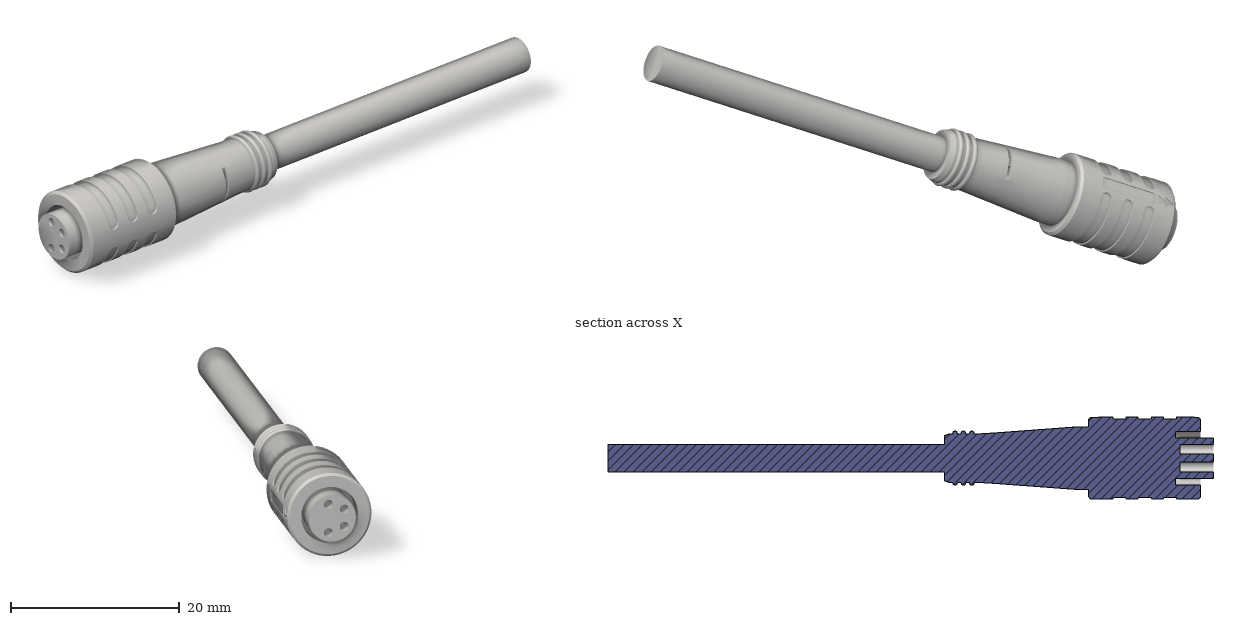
import cadquery as cq
import math

total_length = 71.9

insert_diameter = 5.7
recess_diameter = 6.9
recess_depth = 3.0
contact_diameter = 1.1
contact_depth = 4.0
contact_circle_radius = 1.8
contact_angles = (36, 105, -105, -36)

sleeve_diameter = 10.2
sleeve_radius = sleeve_diameter / 2
sleeve_front = 1.55
sleeve_back = 14.9
sleeve_chamfer = 0.3
recess_floor = sleeve_front + recess_depth

groove_width = 1.5
groove_pitch = 2 * groove_width
groove_count = 3
groove_depth = 0.2
first_groove_front = 4.45
groove_end_height = 1.2
side_slot_length = groove_pitch * (groove_count - 1) + groove_width
side_slot_corner = 0.4

mark_height = 1.5
mark_length = 1.35
mark_depth = 0.15
triangle_base = 4.25
chevron_base = 3.2
chevron_thickness = 0.75

relief_front_diameter = 8.0
relief_back_diameter = 6.5
relief_cone_front = 16.4
relief_cone_back = 27.8
relief_back = 32.0
relief_end_chamfer = 0.2
relief_end_chamfer_length = 0.6
bead_radius = 0.3
bead_pitch = 1.0
bead_count = 3
first_bead_center = 28.7
slit_center = 23.9
slit_width = 0.5
slit_floor = 2.7
slit_web_width = 1.1
slit_web_top = 3.1

cable_diameter = 4.4


def cylinder(diameter, start, end):
    """Solid cylinder along Y between two stations."""
    return cq.Workplane("XZ", origin=(0, start, 0)).circle(diameter / 2).extrude(start - end)


def make_sleeve():
    """Chamfered locking sleeve with the recess that surrounds the mating insert."""
    sleeve = cylinder(sleeve_diameter, sleeve_front, sleeve_back)
    sleeve = sleeve.faces("<Y or >Y").chamfer(sleeve_chamfer)
    return sleeve.cut(cylinder(recess_diameter, sleeve_front, recess_floor))


def grip_groove(front, side):
    """Shallow groove over the top (side = 1) or bottom (side = -1), with rounded ends."""
    back = front + groove_width
    middle = front + groove_width / 2
    arc_start = side * (groove_end_height + groove_width / 2)
    ring = cylinder(sleeve_diameter + groove_depth, front, back)
    ring = ring.cut(cylinder(sleeve_diameter - 2 * groove_depth, front, back))
    window = (
        cq.Workplane("YZ")
        .moveTo(front, side * sleeve_diameter)
        .lineTo(front, arc_start)
        .threePointArc((middle, side * groove_end_height), (back, arc_start))
        .lineTo(back, side * sleeve_diameter)
        .close()
        .extrude(sleeve_diameter, both=True)
    )
    return ring.intersect(window)


def side_slot():
    """Axial slot with a flat floor on the -X side of the sleeve."""
    slot = cq.Workplane("XY").box(2 * groove_depth, side_slot_length, groove_width)
    slot = slot.edges("|X").fillet(side_slot_corner)
    return slot.translate((-sleeve_radius, first_groove_front + side_slot_length / 2, 0))


def pairing_mark():
    """Triangle and chevron recessed to the same flat floor on the -X side of the sleeve."""
    half_height = mark_height / 2
    notch_half_height = half_height * (1 - chevron_thickness / mark_length)
    workplane = cq.Workplane("YZ", origin=(-sleeve_radius - mark_depth, 0, 0))
    triangle = workplane.polyline(
        [
            (triangle_base, half_height),
            (triangle_base - mark_length, 0),
            (triangle_base, -half_height),
        ]
    ).close().extrude(2 * mark_depth)
    chevron = workplane.polyline(
        [
            (chevron_base, half_height),
            (chevron_base - mark_length, 0),
            (chevron_base, -half_height),
            (chevron_base, -notch_half_height),
            (chevron_base - mark_length + chevron_thickness, 0),
            (chevron_base, notch_half_height),
        ]
    ).close().extrude(2 * mark_depth)
    return triangle.union(chevron)


def make_relief():
    """Revolved strain relief: collar, cone and a beaded end."""
    front_radius = relief_front_diameter / 2
    back_radius = relief_back_diameter / 2
    outline = (
        cq.Workplane("XY")
        .moveTo(0, recess_floor)
        .lineTo(insert_diameter / 2, recess_floor)
        .lineTo(front_radius, sleeve_back)
        .lineTo(front_radius, relief_cone_front)
        .lineTo(back_radius, relief_cone_back)
    )
    for index in range(bead_count):
        center = first_bead_center + index * bead_pitch
        outline = outline.lineTo(back_radius, center - bead_radius).threePointArc(
            (back_radius + bead_radius, center), (back_radius, center + bead_radius)
        )
    outline = (
        outline.lineTo(back_radius, relief_back - relief_end_chamfer_length)
        .lineTo(back_radius - relief_end_chamfer, relief_back)
        .lineTo(0, relief_back)
        .close()
    )
    return outline.revolve(360, (0, 0, 0), (0, 1, 0))


def relief_slit(side):
    """Narrow cross slit on one side of the strain relief, with a low web across its middle."""
    slit = cq.Workplane("XY").box(relief_front_diameter, slit_width, relief_front_diameter)
    slit = slit.translate((side * (slit_floor + relief_front_diameter / 2), slit_center, 0))
    web = cq.Workplane("XY").box(slit_web_top - slit_floor, slit_width, slit_web_width)
    web = web.translate((side * (slit_floor + slit_web_top) / 2, slit_center, 0))
    return slit.cut(web)


def contact_hole(angle):
    """Blind contact hole in the mating face."""
    x = contact_circle_radius * math.cos(math.radians(angle))
    z = contact_circle_radius * math.sin(math.radians(angle))
    return cylinder(contact_diameter, 0, contact_depth).translate((x, 0, z))


result = make_sleeve().union(make_relief())
result = result.union(cylinder(insert_diameter, 0, sleeve_back))
result = result.union(cylinder(cable_diameter, sleeve_back, total_length))

for index in range(groove_count):
    for side in (1, -1):
        result = result.cut(grip_groove(first_groove_front + index * groove_pitch, side))
result = result.cut(side_slot()).cut(pairing_mark())

for side in (1, -1):
    result = result.cut(relief_slit(side))
for angle in contact_angles:
    result = result.cut(contact_hole(angle))